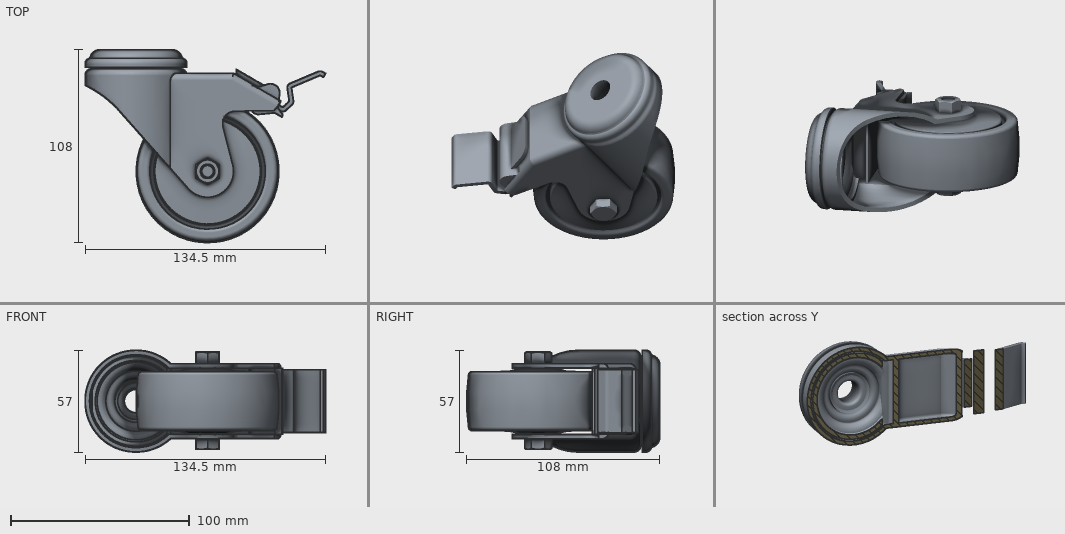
import cadquery as cq
import math


wheel_x = 40.0
wheel_radius = 40.0
mount_height = 68.0

sheet = 2.5
swivel_radius = 28.5
skirt_bore_radius = swivel_radius - sheet
cheek_outer = 21.0
cheek_inner = cheek_outer - sheet

bolt_radius = 4.0
bolt_hole_radius = 4.25
wheel_bore_radius = 4.1


def extrude_z(outline, half_width):
    """Extrude an XY outline evenly to both sides of the Z = 0 plane."""
    return outline.extrude(half_width, both=True)


def revolve_about_y(half_profile):
    """Revolve a closed profile drawn with x as the radius about the Y axis."""
    return half_profile.revolve(360, (0, 0, 0), (0, 1, 0))


def arc_point(centre, radius, degrees):
    angle = math.radians(degrees)
    return (centre[0] + radius * math.cos(angle), centre[1] + radius * math.sin(angle))


head_underside = 58.15
head_rim_top = 60.0
head_shoulder_round = 3.3
head_shoulder_end = 74.0
head_dome_round = 5.9
head_dome_flat_radius = 20.0
head_dome_end = 18.0
head_neck_radius = 25.0
head_bore_radius = 6.5
head_bore_flare = 1.7
stem_radius = 11.8
stem_face_radius = 10.2
stem_face = 55.4
stem_rim_bottom = 54.6
fork_top = 57.4


def make_head():
    shoulder_centre = (swivel_radius - head_shoulder_round, head_rim_top)
    dome_centre = (head_dome_flat_radius, mount_height - head_dome_round)
    flare_centre = (head_bore_radius + head_bore_flare, stem_face + head_bore_flare)
    profile = (
        cq.Workplane("XY")
        .moveTo(flare_centre[0], stem_face)
        .lineTo(stem_face_radius, stem_face)
        .lineTo(stem_radius, stem_rim_bottom)
        .lineTo(stem_radius, fork_top)
        .lineTo(head_neck_radius, fork_top)
        .lineTo(head_neck_radius, head_underside)
        .lineTo(swivel_radius, head_underside)
        .lineTo(swivel_radius, head_rim_top)
        .threePointArc(
            arc_point(shoulder_centre, head_shoulder_round, head_shoulder_end / 2),
            arc_point(shoulder_centre, head_shoulder_round, head_shoulder_end),
        )
        .lineTo(*arc_point(dome_centre, head_dome_round, head_dome_end))
        .threePointArc(
            arc_point(dome_centre, head_dome_round, (head_dome_end + 90) / 2),
            (head_dome_flat_radius, mount_height),
        )
        .lineTo(head_bore_radius, mount_height)
        .lineTo(head_bore_radius, flare_centre[1])
        .threePointArc(
            arc_point(flare_centre, head_bore_flare, 225), (flare_centre[0], stem_face)
        )
        .close()
    )
    return revolve_about_y(profile)


swivel_edge_round = 4.0
bend_outer = 4.0
bend_inner = bend_outer - sheet
web_top = 54.85
incline_angle = math.radians(30)
incline_start_x = 54.5
incline_end_x = 81.2

ring_bottom = 46.0
ring_inner_radius = 22.8
ring_step_top = 47.6
ring_outer_radius = 25.2
ring_cut_x = 17.1
outer_race_radius = 21.7
outer_race_bottom = 48.9
outer_race_round = 4.9
inner_race_bottom = 53.5
inner_race_round = 3.3
inner_race_radius = stem_radius + inner_race_round

skirt_low = (-swivel_radius, 48.1)
skirt_arc_mid = (-19.0, 42.5)
skirt_arc_end = (-10.8, 35.4)
lug_radius = 14.5
lug_left_angle = 223.0
lug_right_angle = 13.0
throat_corner = (46.4, 33.4)
throat_round = 7.0
cheek_tip_low = (77.2, 34.0)
cheek_tip_high = (79.3, 36.4)

lip_start = (21.4, 50.1)
lip_drop = 5.8

brake_slot_start = 65.0


def incline_top(x):
    """Height of the web's outer face along its sloping stretch."""
    return web_top - (x - incline_start_x) * math.tan(incline_angle)


def channel(inset, half_width, bend_radius):
    """Solid under the web, set in from its outer face, with rounded top side edges."""
    level = web_top - inset
    knee_x = incline_start_x - inset * math.tan(incline_angle / 2)
    far_x = incline_end_x + wheel_radius
    far_y = level - (far_x - knee_x) * math.tan(incline_angle)
    bottom = -wheel_radius
    outline = cq.Workplane("XY").polyline(
        [(0, bottom), (0, level), (knee_x, level), (far_x, far_y), (far_x, bottom)]
    ).close()
    block = extrude_z(outline, half_width)
    top_edges = cq.selectors.BoxSelector(
        (1, far_y + 1, -2 * half_width), (far_x - 1, level + 1, 2 * half_width)
    )
    return block.edges("not |Z").edges(top_edges).fillet(bend_radius)


def swivel_drum(radius, top):
    return (
        cq.Workplane("XZ", origin=(0, top, 0)).circle(radius).extrude(top + wheel_radius)
    )


def bearing_dish():
    outer_centre = (outer_race_radius, outer_race_bottom + outer_race_round)
    inner_centre = (inner_race_radius, inner_race_bottom + inner_race_round)
    outer_race_inside = outer_race_radius - outer_race_round
    profile = (
        cq.Workplane("XY")
        .moveTo(stem_radius, fork_top)
        .lineTo(stem_radius, inner_centre[1])
        .threePointArc(
            arc_point(inner_centre, inner_race_round, 225), (inner_race_radius, inner_race_bottom)
        )
        .lineTo(outer_race_inside, inner_race_bottom)
        .lineTo(outer_race_inside, outer_centre[1])
        .threePointArc(
            arc_point(outer_centre, outer_race_round, 225), (outer_race_radius, outer_race_bottom)
        )
        .lineTo(ring_inner_radius, ring_step_top)
        .lineTo(ring_inner_radius, ring_bottom)
        .lineTo(ring_outer_radius, ring_bottom)
        .lineTo(ring_outer_radius, web_top - sheet)
        .lineTo(skirt_bore_radius, web_top - sheet)
        .lineTo(skirt_bore_radius, web_top)
        .lineTo(swivel_radius - swivel_edge_round, fork_top)
        .close()
    )
    cut_away = cq.Workplane("XY").box(
        swivel_radius, lip_start[1], 2 * cheek_inner, centered=(False, False, True)
    ).translate((ring_cut_x, 0, 0))
    return revolve_about_y(profile).cut(cut_away)


def fork_side_outline():
    lug_left = arc_point((wheel_x, 0), lug_radius, lug_left_angle)
    lug_bottom = (wheel_x, -lug_radius)
    lug_right = arc_point((wheel_x, 0), lug_radius, lug_right_angle)
    end_high_y = incline_top(incline_end_x)
    outline = (
        cq.Workplane("XY")
        .moveTo(-swivel_radius, fork_top)
        .lineTo(*skirt_low)
        .threePointArc(skirt_arc_mid, skirt_arc_end)
        .lineTo(*lug_left)
        .threePointArc(lug_bottom, lug_right)
        .lineTo(*throat_corner)
        .lineTo(*cheek_tip_low)
        .lineTo(*cheek_tip_high)
        .lineTo(incline_end_x, end_high_y)
        .lineTo(incline_end_x, fork_top)
        .close()
    )
    block = extrude_z(outline, swivel_radius)
    corner = cq.selectors.NearestToPointSelector((*throat_corner, 0))
    return block.edges("|Z").edges(corner).fillet(throat_round)


def web_lip():
    x, y = lip_start
    across = sheet * math.sqrt(2)
    outline = cq.Workplane("XY").polyline(
        [
            (ring_cut_x, web_top - sheet),
            (ring_cut_x, y),
            (x, y),
            (x + lip_drop, y - lip_drop),
            (x + lip_drop + across / 2, y - lip_drop + across / 2),
            (x + y - web_top + sheet + across, web_top - sheet),
        ]
    ).close()
    return extrude_z(outline, cheek_inner)


def make_fork():
    drum = swivel_drum(swivel_radius, fork_top).faces(">Y").edges().fillet(swivel_edge_round)
    outside = drum.union(channel(0, cheek_outer, bend_outer))
    inside = swivel_drum(skirt_bore_radius, web_top - sheet).union(
        channel(sheet, cheek_inner, bend_inner)
    )
    dish_space = swivel_drum(swivel_radius - swivel_edge_round, fork_top)
    shell = outside.cut(inside).cut(dish_space).union(bearing_dish())
    fork = shell.union(web_lip()).intersect(fork_side_outline())
    slot = cq.Workplane("XY").box(
        incline_end_x, mount_height, 2 * cheek_inner, centered=(False, False, True)
    ).translate((brake_slot_start, 0, 0))
    axle_hole = extrude_z(cq.Workplane("XY").center(wheel_x, 0).circle(bolt_hole_radius), swivel_radius)
    return fork.cut(slot).cut(axle_hole)


tread_half_width = 16.5
tread_edge_radius = 38.9
tread_edge_z = 14.8
tread_bulge_radius = 38.2
tread_bulge_z = 15.95
tread_face_outer = 36.8
rim_face_inner = 34.3
rim_round = 2.0
disc_radius = 30.08
disc_bevel = 0.6
disc_face_z = 16.2
groove_floor_z = 12.0
groove_round = 1.6
boss_base_radius = 15.7
boss_base_z = 16.8
boss_top_radius = 10.2
boss_top_z = 18.2


def wheel_blank():
    """The crowned tyre and disc as one solid, before the side grooves."""
    profile = (
        cq.Workplane("XZ")
        .moveTo(wheel_bore_radius, -tread_half_width)
        .lineTo(tread_face_outer, -tread_half_width)
        .threePointArc((tread_bulge_radius, -tread_bulge_z), (tread_edge_radius, -tread_edge_z))
        .threePointArc((wheel_radius, 0), (tread_edge_radius, tread_edge_z))
        .threePointArc((tread_bulge_radius, tread_bulge_z), (tread_face_outer, tread_half_width))
        .lineTo(wheel_bore_radius, tread_half_width)
        .close()
    )
    return profile.revolve(360, (0, 0, 0), (0, 1, 0))


def wheel_side_recess():
    """Space between the hub boss and the rim on the +Z side."""
    rim_inner_radius = rim_face_inner - rim_round
    rim_centre = (rim_face_inner, tread_half_width - rim_round)
    groove_centre = (rim_inner_radius - groove_round, groove_floor_z + groove_round)
    profile = (
        cq.Workplane("XZ")
        .moveTo(wheel_bore_radius, disc_face_z)
        .lineTo(disc_radius - disc_bevel, disc_face_z)
        .lineTo(disc_radius, disc_face_z - disc_bevel)
        .lineTo(disc_radius, groove_floor_z)
        .lineTo(groove_centre[0], groove_floor_z)
        .threePointArc(
            arc_point(groove_centre, groove_round, 315), (rim_inner_radius, groove_centre[1])
        )
        .lineTo(rim_inner_radius, rim_centre[1])
        .threePointArc(arc_point(rim_centre, rim_round, 135), (rim_face_inner, tread_half_width))
        .lineTo(wheel_bore_radius, tread_half_width)
        .close()
    )
    return profile.revolve(360, (0, 0, 0), (0, 1, 0))


def wheel_boss():
    profile = cq.Workplane("XZ").polyline(
        [
            (wheel_bore_radius, disc_face_z),
            (disc_radius - disc_bevel, disc_face_z),
            (boss_base_radius, boss_base_z),
            (boss_top_radius, boss_top_z),
            (wheel_bore_radius, boss_top_z),
        ]
    ).close()
    return profile.revolve(360, (0, 0, 0), (0, 1, 0))


def make_wheel():
    wheel = wheel_blank()
    recess = wheel_side_recess()
    boss = wheel_boss()
    for mirrored in (False, True):
        side_recess = recess.mirror("XY") if mirrored else recess
        side_boss = boss.mirror("XY") if mirrored else boss
        wheel = wheel.cut(side_recess).union(side_boss)
    return wheel.translate((wheel_x, 0, 0))


hex_across_flats = 13.0
hex_bevel_radius = 6.4
hex_bevel_angle = math.radians(30)
nut_height = 6.5
bolt_head_height = 5.4
bolt_washer_height = 0.6
bolt_washer_radius = 6.0
bolt_end_radius = 3.325
bolt_end_recess = 0.6


def hex_block(height):
    """Hexagon standing on Z = 0, corners along Y, its top corners bevelled."""
    corner_radius = hex_across_flats / math.sqrt(3)
    hexagon = cq.Workplane("XY").polygon(6, 2 * corner_radius).extrude(height)
    hexagon = hexagon.rotate((0, 0, 0), (0, 0, 1), 90)
    bevel_drop = (corner_radius - hex_bevel_radius) * math.tan(hex_bevel_angle)
    envelope = cq.Workplane("XZ").polyline(
        [
            (0, 0),
            (corner_radius, 0),
            (corner_radius, height - bevel_drop),
            (hex_bevel_radius, height),
            (0, height),
        ]
    ).close().revolve(360, (0, 0, 0), (0, 1, 0))
    return hexagon.intersect(envelope)


def make_nut():
    nut = hex_block(nut_height).cut(cq.Workplane("XY").circle(bolt_radius).extrude(nut_height))
    return nut.translate((wheel_x, 0, cheek_outer))


def make_bolt():
    washer_bottom = -cheek_outer - bolt_washer_height
    end_z = cheek_outer + nut_height - bolt_end_recess
    shank = (
        cq.Workplane("XY", origin=(0, 0, washer_bottom))
        .circle(bolt_radius)
        .extrude(end_z - washer_bottom)
        .faces(">Z")
        .chamfer(bolt_radius - bolt_end_radius)
    )
    washer = (
        cq.Workplane("XY", origin=(0, 0, washer_bottom))
        .circle(bolt_washer_radius)
        .extrude(bolt_washer_height)
    )
    head = hex_block(bolt_head_height).mirror("XY").translate((0, 0, washer_bottom))
    return shank.union(washer).union(head).translate((wheel_x, 0, 0))


pedal_half_width = 17.65
pedal_sheet = 2.5
pedal_bend_radius = 2.6

pedal_path = [(79.0, 36.2), (82.2, 34.3), (86.9, 38.6), (85.6, 47.6), (103.0, 54.95), (105.35, 53.6)]

cam_lobe_centre = (75.1, 43.7)
cam_lobe_radius = 5.3
cam_lobe_shoulder = (68.2, 46.9)
cam_back = (63.0, 42.0)
shoe_heel = (64.0, 36.0)
shoe_heel_mid = (65.4, 33.0)
shoe_floor_start = (68.7, 31.75)
shoe_floor_end = (77.5, 32.6)
shoe_tip_low = (81.6, 30.3)
shoe_tip_high = (82.1, 31.7)
shoe_neck = (79.3, 35.4)

slab_start_x = 56.0
slab_end_x = 71.0
slab_thickness = 2.6
slab_half_width = 14.0
slab_corner_round = 5.5

leaf_tip = (19.4, 41.8)
leaf_root = (66.0, 44.1)
leaf_thickness = 1.0


def strip_outline(path, thickness):
    """Outline of a sheet of even thickness along a bent middle line, with mitred bends."""
    directions = []
    for start, end in zip(path, path[1:]):
        directions.append(math.atan2(end[1] - start[1], end[0] - start[0]))
    before = directions[:1] + directions
    after = directions + directions[-1:]
    left_side = []
    right_side = []
    for (x, y), angle_in, angle_out in zip(path, before, after):
        half_turn = (angle_out - angle_in) / 2
        reach = thickness / 2 / math.cos(half_turn)
        normal = (angle_in + angle_out) / 2 + math.pi / 2
        offset_x = reach * math.cos(normal)
        offset_y = reach * math.sin(normal)
        left_side.append((x + offset_x, y + offset_y))
        right_side.append((x - offset_x, y - offset_y))
    return left_side, right_side


def make_pedal():
    left_side, right_side = strip_outline(pedal_path, pedal_sheet)
    outline = cq.Workplane("XY").polyline(left_side + right_side[::-1]).close()
    pedal = extrude_z(outline, pedal_half_width)
    outer_corners = [right_side[1], right_side[2], left_side[3], left_side[4]]
    for x, y in outer_corners:
        corner = cq.selectors.NearestToPointSelector((x, y, 0))
        pedal = pedal.edges("|Z").edges(corner).fillet(pedal_bend_radius)
    return pedal


def make_cam():
    lobe_top = arc_point(cam_lobe_centre, cam_lobe_radius, 108)
    lobe_mid = arc_point(cam_lobe_centre, cam_lobe_radius, 54)
    lobe_right = arc_point(cam_lobe_centre, cam_lobe_radius, 0)
    outline = (
        cq.Workplane("XY")
        .moveTo(*shoe_neck)
        .lineTo(*lobe_right)
        .threePointArc(lobe_mid, lobe_top)
        .lineTo(*cam_lobe_shoulder)
        .lineTo(*cam_back)
        .lineTo(*shoe_heel)
        .threePointArc(shoe_heel_mid, shoe_floor_start)
        .lineTo(*shoe_floor_end)
        .lineTo(*shoe_tip_low)
        .lineTo(*shoe_tip_high)
        .close()
    )
    return extrude_z(outline, cheek_inner)


def make_slab():
    start_y = incline_top(slab_start_x)
    end_y = incline_top(slab_end_x)
    rise = slab_thickness / math.cos(incline_angle)
    outline = cq.Workplane("XY").polyline(
        [
            (slab_start_x, start_y),
            (slab_start_x, start_y + rise),
            (slab_end_x, end_y + rise),
            (slab_end_x, end_y),
        ]
    ).close()
    slab = extrude_z(outline, slab_half_width)
    plan = (
        cq.Workplane("XY")
        .box(slab_end_x - slab_start_x, mount_height, 2 * slab_half_width, centered=(False, False, True))
        .translate((slab_start_x, 0, 0))
        .faces("<X")
        .edges("|Y")
        .fillet(slab_corner_round)
    )
    return slab.intersect(plan)


def make_leaf():
    left_side, right_side = strip_outline([leaf_tip, leaf_root], leaf_thickness)
    outline = cq.Workplane("XY").polyline(left_side + right_side[::-1]).close()
    return extrude_z(outline, cheek_inner)


def make_brake_lever():
    return make_cam().union(make_pedal()).union(make_slab()).union(make_leaf())


head = make_head()
fork = make_fork()
wheel = make_wheel()
bolt = make_bolt()
nut = make_nut()
brake_lever = make_brake_lever()

result = cq.Compound.makeCompound(
    [head.val(), fork.val(), wheel.val(), bolt.val(), nut.val(), brake_lever.val()]
)